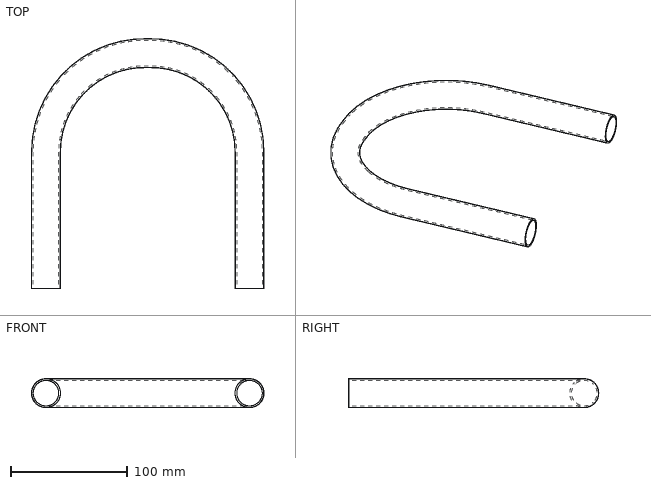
import cadquery as cq

overall_length = 215.0
overall_width = 200.0
tube_diameter = 25.0
wall_thickness = 1.5
bend_radius = 85.0
bend_sweep = 100

tube_radius = tube_diameter / 2
bore_radius = tube_radius - wall_thickness
leg_offset = overall_width / 2 - tube_radius
leg_length = overall_length - tube_radius - bend_radius


def tube_section(y):
    """Ring-shaped section of the left leg, square to Y."""
    section = cq.Workplane("XZ", origin=(-leg_offset, y, 0))
    return section.circle(tube_radius).circle(bore_radius)


leg = tube_section(0).extrude(-leg_length)
full_bend = tube_section(leg_length).revolve(bend_sweep, (bend_radius, 0, 0), (bend_radius, -1, 0))
left_side = cq.Workplane("XY").box(
    overall_width, 2 * overall_length, 2 * tube_diameter, centered=(False, True, True)
).translate((-overall_width, 0, 0))
left_half = leg.union(full_bend.intersect(left_side))

result = left_half.union(left_half.mirror("YZ"))